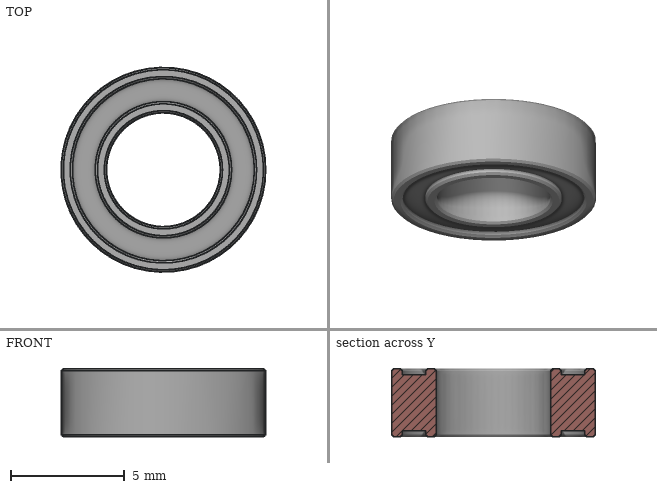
import cadquery as cq

bore_diameter = 5.0
outer_diameter = 9.0
width = 3.0
inner_ring_wall = 0.5
outer_ring_wall = 0.5
shield_recess = 0.25
edge_chamfer = 0.1

bore_radius = bore_diameter / 2
inner_ring_radius = bore_radius + inner_ring_wall
outer_radius = outer_diameter / 2
outer_ring_bore_radius = outer_radius - outer_ring_wall


def ring(inner_radius, ring_radius, height):
    """Plain ring centred on the origin, with its axis along Z."""
    bottom_face = cq.Workplane("XY").workplane(offset=-height / 2)
    return bottom_face.circle(ring_radius).circle(inner_radius).extrude(height)


def chamfered_ring(inner_radius, ring_radius):
    """Full-width bearing ring with all four circular edges chamfered."""
    return ring(inner_radius, ring_radius, width).edges("%CIRCLE").chamfer(edge_chamfer)


inner_ring = chamfered_ring(bore_radius, inner_ring_radius)
outer_ring = chamfered_ring(outer_ring_bore_radius, outer_radius)

shield_height = width - 2 * shield_recess
shields = ring(inner_ring_radius, outer_ring_bore_radius, shield_height)

result = inner_ring.union(shields).union(outer_ring)